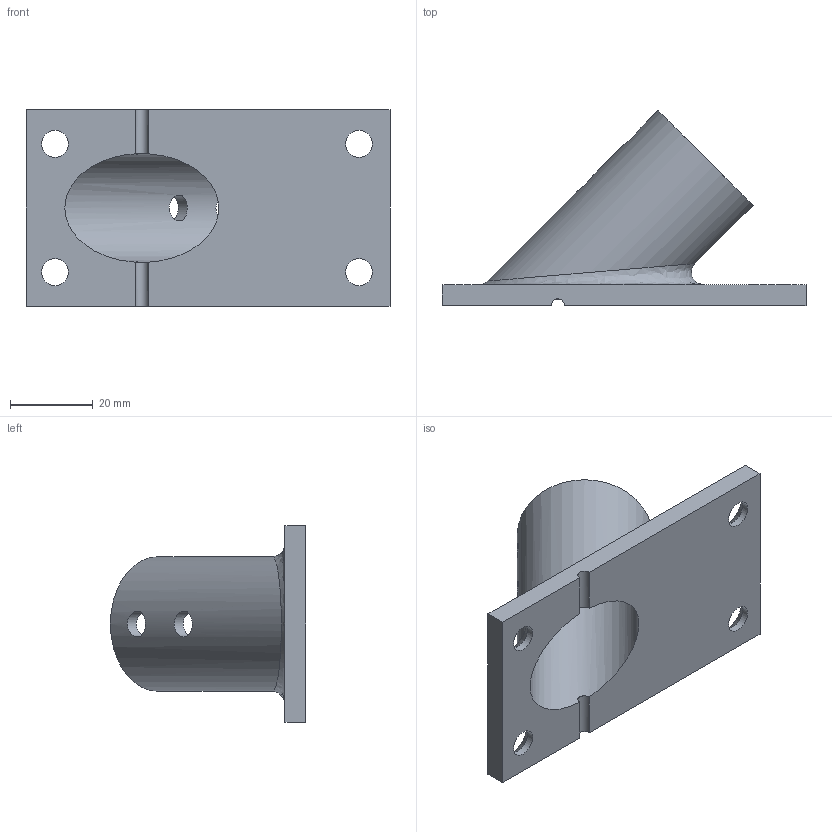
import cadquery as cq
import math

PLATE_LENGTH = 88.0
PLATE_THICKNESS = 5.0
PLATE_HEIGHT = 47.5

SCREW_DIAMETER = 6.5
COUNTERSINK_DIAMETER = 13.0
COUNTERSINK_ANGLE = 90.0
SCREW_LEFT_X = 7.0
SCREW_SPACING_X = 73.5
SCREW_SPACING_Z = 31.0

TUBE_ANGLE = 45.0
TUBE_OUTER_DIAMETER = 32.5
TUBE_BORE = 26.3
TUBE_LENGTH = 50.5
TUBE_AXIS_X = 28.0
TUBE_FILLET = 3.0

PIN_DIAMETER = 6.2
PIN_END_OFFSET = 8.9
PIN_SPACING = 16.0
PIN_COUNT = 2

GROOVE_RADIUS = 1.6

Y_DIRECTION = cq.Vector(0, 1, 0)
MID_Z = PLATE_HEIGHT / 2
AXIS_X = math.cos(math.radians(TUBE_ANGLE))
AXIS_Y = math.sin(math.radians(TUBE_ANGLE))
TUBE_AXIS = cq.Vector(AXIS_X, AXIS_Y, 0)
UPPER_WALL_DIRECTION = cq.Vector(-AXIS_Y, AXIS_X, 0)
TUBE_START = cq.Vector(TUBE_AXIS_X, 0, MID_Z)


def axial_cylinder(diameter, start, end):
    """Cylinder on the tube axis between two distances from the front face."""
    base = TUBE_START + TUBE_AXIS * start
    return cq.Workplane(cq.Solid.makeCylinder(diameter / 2, end - start, base, TUBE_AXIS))


def base_plate():
    return cq.Workplane("XY").box(PLATE_LENGTH, PLATE_THICKNESS, PLATE_HEIGHT, centered=False)


def plate_with_tube():
    """Plate and solid tube body, with a fillet around the foot of the tube."""
    behind_plate = cq.Workplane("XY").box(
        PLATE_LENGTH, TUBE_LENGTH, PLATE_HEIGHT, centered=False
    ).translate((0, PLATE_THICKNESS, 0))
    tube = axial_cylinder(TUBE_OUTER_DIAMETER, -TUBE_OUTER_DIAMETER, TUBE_LENGTH).intersect(behind_plate)
    body = base_plate().union(tube)
    foot = body.edges("%ELLIPSE")
    return foot.fillet(TUBE_FILLET)


def tube_bore():
    """Bore running past the tube end and out through the front face."""
    return axial_cylinder(TUBE_BORE, -TUBE_BORE, TUBE_LENGTH + TUBE_BORE)


def countersunk_hole(x, z):
    """Screw hole along Y with its countersink on the tube side of the plate."""
    radius = SCREW_DIAMETER / 2
    head_radius = COUNTERSINK_DIAMETER / 2
    depth = (head_radius - radius) / math.tan(math.radians(COUNTERSINK_ANGLE / 2))
    shank = cq.Solid.makeCylinder(radius, PLATE_THICKNESS, cq.Vector(x, 0, z), Y_DIRECTION)
    cone_start = cq.Vector(x, PLATE_THICKNESS - depth, z)
    cone = cq.Solid.makeCone(radius, head_radius, depth, cone_start, Y_DIRECTION)
    return cq.Workplane(shank).union(cq.Workplane(cone))


def cut_screw_holes(body):
    for x in (SCREW_LEFT_X, SCREW_LEFT_X + SCREW_SPACING_X):
        for z in (MID_Z - SCREW_SPACING_Z / 2, MID_Z + SCREW_SPACING_Z / 2):
            body = body.cut(countersunk_hole(x, z))
    return body


def cut_pin_holes(body):
    """Holes from the tube axis out through the upper wall only."""
    for index in range(PIN_COUNT):
        distance = TUBE_LENGTH - PIN_END_OFFSET - index * PIN_SPACING
        center = TUBE_START + TUBE_AXIS * distance
        hole = cq.Solid.makeCylinder(
            PIN_DIAMETER / 2, TUBE_OUTER_DIAMETER, center, UPPER_WALL_DIRECTION
        )
        body = body.cut(cq.Workplane(hole))
    return body


def groove():
    return cq.Workplane("XY").center(TUBE_AXIS_X, 0).circle(GROOVE_RADIUS).extrude(PLATE_HEIGHT)


result = plate_with_tube().cut(tube_bore())
result = cut_screw_holes(result)
result = cut_pin_holes(result)
result = result.cut(groove())